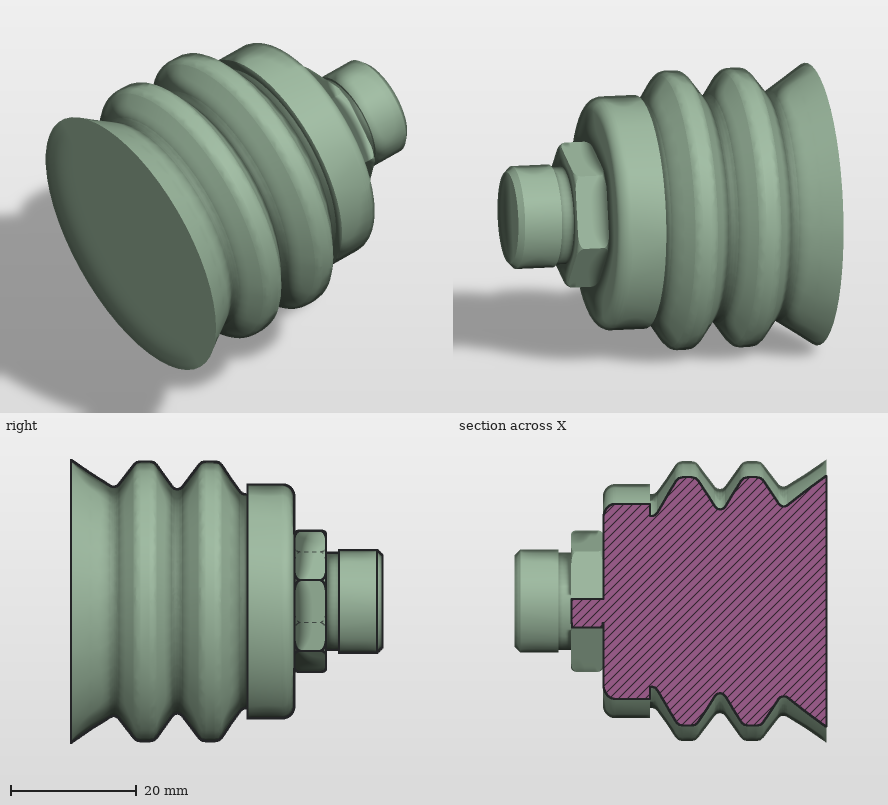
import cadquery as cq
import math

total_length = 49.5
lip_radius = 45.0 / 2

ridge_radius = 44.5 / 2
ridge_width = 2.8
lower_ridge_start = 10.4
ridge_pitch = 10.35
lip_valley_y = 7.05
lip_valley_radius = 17.85
mid_valley_y = 16.9
mid_valley_radius = 17.15
neck_start = 27.2
neck_radius = 34.0 / 2
ridge_fillet = 1.4
valley_fillet = 1.0

cap_start = 28.0
cap_end = 35.5
cap_radius = 37.2 / 2
cap_fillet = 2.0

nut_end = 40.55
nut_across_flats = 20.0
nut_turn = 17.0
nut_fillet = 1.0

undercut_end = 42.55
undercut_radius = 15.5 / 2
thread_radius = 16.4 / 2
thread_chamfer = 0.9


def cylinder(radius, start, end):
    """Solid cylinder along Y between two stations."""
    return cq.Workplane("XZ", origin=(0, start, 0)).circle(radius).extrude(start - end)


def fillet_circles(body, corners, fillet_radius):
    """Round the circular edge at the station of each (radius, station) corner."""
    for _, station in corners:
        nearest = cq.selectors.NearestToPointSelector((0, station, 0))
        body = body.edges("%CIRCLE").edges(nearest).fillet(fillet_radius)
    return body


def make_bellows():
    lower_ridge_end = lower_ridge_start + ridge_width
    upper_ridge_start = lower_ridge_start + ridge_pitch
    upper_ridge_end = upper_ridge_start + ridge_width
    ridges = [
        (ridge_radius, lower_ridge_start),
        (ridge_radius, lower_ridge_end),
        (ridge_radius, upper_ridge_start),
        (ridge_radius, upper_ridge_end),
    ]
    valleys = [
        (lip_valley_radius, lip_valley_y),
        (mid_valley_radius, mid_valley_y),
        (neck_radius, neck_start),
    ]
    corners = sorted(ridges + valleys, key=lambda corner: corner[1])
    profile = [(0, 0), (lip_radius, 0)] + corners + [(neck_radius, cap_start), (0, cap_start)]
    body = cq.Workplane("XY").polyline(profile).close().revolve(360, (0, 0, 0), (0, 1, 0))
    body = fillet_circles(body, ridges, ridge_fillet)
    return fillet_circles(body, valleys, valley_fillet)


def make_cap():
    return cylinder(cap_radius, cap_start, cap_end).faces(">Y").edges().fillet(cap_fillet)


def make_nut():
    """Hexagon whose corners are rounded off by turning at both ends."""
    corner_radius = nut_across_flats / 2 / math.cos(math.pi / 6)
    hexagon = (
        cq.Workplane("XZ", origin=(0, cap_end, 0))
        .polygon(6, 2 * corner_radius)
        .extrude(cap_end - nut_end)
        .rotate((0, 0, 0), (0, 1, 0), -nut_turn)
    )
    envelope = cylinder(corner_radius, cap_end, nut_end).edges("%CIRCLE").fillet(nut_fillet)
    return hexagon.intersect(envelope)


def make_stud():
    undercut = cylinder(undercut_radius, nut_end, undercut_end)
    thread = cylinder(thread_radius, undercut_end, total_length)
    thread = thread.faces(">Y").edges().chamfer(thread_chamfer)
    return undercut.union(thread)


result = make_bellows().union(make_cap()).union(make_nut()).union(make_stud())